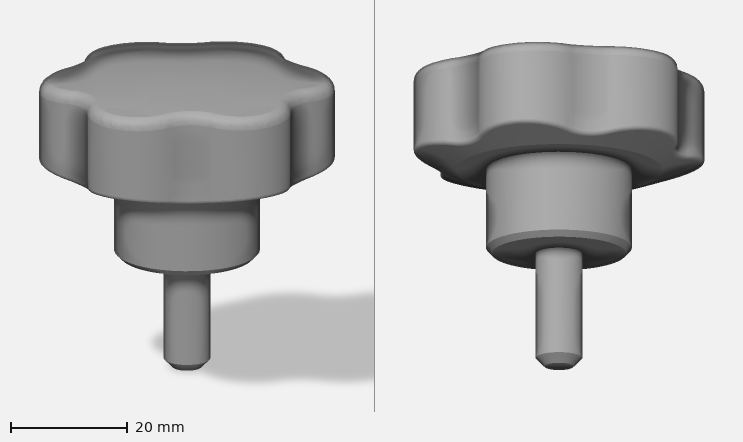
import cadquery as cq
import math

LOBE_COUNT = 6
LOBE_RADIUS = 9.35
LOBE_CENTRE_RADIUS = 16.0
VALLEY_RADIUS = 7.5
HEAD_HEIGHT = 18.18
DOME_RADIUS = 190.0
UNDERSIDE_FLAT_DIAMETER = 35.5
UNDERSIDE_ANGLE = 16.0
TOP_FILLET = 2.0
BOTTOM_FILLET = 0.7
ENVELOPE_MARGIN = 1.0

HUB_DIAMETER = 25.0
HUB_LENGTH = 14.78
HUB_CHAMFER = 1.0

STUD_DIAMETER = 8.0
STUD_LENGTH = 20.0
STUD_CHAMFER = 1.5

HEAD_BOTTOM = HUB_LENGTH
HEAD_TOP = HEAD_BOTTOM + HEAD_HEIGHT


def polar(radius, angle):
    """Point at the given radius and angle in degrees."""
    radians = math.radians(angle)
    return radius * math.cos(radians), radius * math.sin(radians)


FIRST_LOBE_ANGLE = 90.0
PITCH_ANGLE = 360.0 / LOBE_COUNT
HALF_PITCH = PITCH_ANGLE / 2
OUTER_RADIUS = LOBE_CENTRE_RADIUS + LOBE_RADIUS

LOBE_TO_VALLEY = LOBE_RADIUS + VALLEY_RADIUS
VALLEY_CENTRE_RADIUS = (
    LOBE_CENTRE_RADIUS * math.cos(math.radians(HALF_PITCH))
    + math.sqrt(LOBE_TO_VALLEY**2 - (LOBE_CENTRE_RADIUS * math.sin(math.radians(HALF_PITCH)))**2)
)
VALLEY_FLOOR_RADIUS = VALLEY_CENTRE_RADIUS - VALLEY_RADIUS

JOINT_SHARE = LOBE_RADIUS / LOBE_TO_VALLEY
VALLEY_X, VALLEY_Y = polar(VALLEY_CENTRE_RADIUS, HALF_PITCH)
JOINT_X = LOBE_CENTRE_RADIUS + JOINT_SHARE * (VALLEY_X - LOBE_CENTRE_RADIUS)
JOINT_Y = JOINT_SHARE * VALLEY_Y
JOINT_RADIUS = math.hypot(JOINT_X, JOINT_Y)
JOINT_ANGLE = math.degrees(math.atan2(JOINT_Y, JOINT_X))


def lobed_prism():
    """Six-lobed outline of tangent arcs, extruded over the height of the head."""
    outline = cq.Workplane("XY").workplane(offset=HEAD_BOTTOM)
    outline = outline.moveTo(*polar(JOINT_RADIUS, FIRST_LOBE_ANGLE - JOINT_ANGLE))
    for index in range(LOBE_COUNT):
        lobe_angle = FIRST_LOBE_ANGLE + index * PITCH_ANGLE
        next_lobe_angle = lobe_angle + PITCH_ANGLE
        outline = outline.threePointArc(
            polar(OUTER_RADIUS, lobe_angle),
            polar(JOINT_RADIUS, lobe_angle + JOINT_ANGLE),
        )
        outline = outline.threePointArc(
            polar(VALLEY_FLOOR_RADIUS, lobe_angle + HALF_PITCH),
            polar(JOINT_RADIUS, next_lobe_angle - JOINT_ANGLE),
        )
    return outline.close().extrude(HEAD_HEIGHT)


def head_envelope():
    """Turned body with a domed top and a conical underside, wider than the lobes."""
    envelope_radius = OUTER_RADIUS + ENVELOPE_MARGIN
    flat_radius = UNDERSIDE_FLAT_DIAMETER / 2
    cone_rise = (envelope_radius - flat_radius) * math.tan(math.radians(UNDERSIDE_ANGLE))

    def dome_height(radius):
        return HEAD_TOP - DOME_RADIUS + math.sqrt(DOME_RADIUS**2 - radius**2)

    middle_radius = envelope_radius / 2
    return (
        cq.Workplane("XZ")
        .moveTo(0, HEAD_BOTTOM)
        .lineTo(flat_radius, HEAD_BOTTOM)
        .lineTo(envelope_radius, HEAD_BOTTOM + cone_rise)
        .lineTo(envelope_radius, dome_height(envelope_radius))
        .threePointArc((middle_radius, dome_height(middle_radius)), (0, HEAD_TOP))
        .close()
        .revolve(360, (0, 0), (0, 1))
    )


def head():
    """Lobed head with its upper and lower rims rounded."""
    envelope = head_envelope().rotate((0, 0, 0), (0, 0, 1), FIRST_LOBE_ANGLE)
    body = lobed_prism().intersect(envelope)
    body = body.faces(">Z").edges().fillet(TOP_FILLET)
    cone_rim = body.faces("%CONE").edges("not %CIRCLE")
    return cone_rim.fillet(BOTTOM_FILLET)


def hub():
    """Cylindrical hub with a chamfered lower edge."""
    body = cq.Workplane("XY").circle(HUB_DIAMETER / 2).extrude(HUB_LENGTH)
    return body.faces("<Z").edges().chamfer(HUB_CHAMFER)


def stud():
    """Plain stud with a chamfered tip."""
    body = cq.Workplane("XY").circle(STUD_DIAMETER / 2).extrude(-STUD_LENGTH)
    return body.faces("<Z").edges().chamfer(STUD_CHAMFER)


result = head().union(hub()).union(stud())